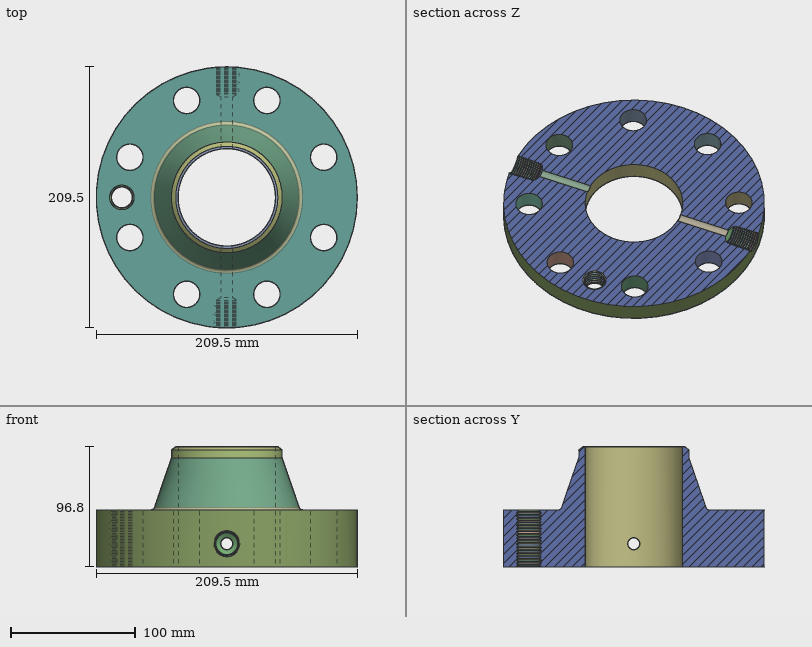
import cadquery as cq
import math

flange_diameter = 209.5
flange_thickness = 46.0
total_height = 96.8

bore_diameter = 78.0
rim_diameter = 88.8
rim_height = 6.3
bevel_height = 2.7
land_diameter = 82.0
hub_base_diameter = 117.5
hub_fillet = 3.0

bolt_circle_diameter = 168.3
bolt_count = 8
bolt_hole_diameter = 21.0

jack_major_diameter = 19.7
jack_minor_diameter = 16.5
jack_pitch = 2.5

tap_height = 18.9
tap_major_diameter = 21.0
tap_minor_diameter = 18.9
tap_pitch = 1.82
tap_turns = 12
tap_taper = 1 / 16
tap_drill_diameter = 9.5
drill_point_angle = 118.0

flange_radius = flange_diameter / 2
bore_radius = bore_diameter / 2
rim_radius = rim_diameter / 2
bolt_circle_radius = bolt_circle_diameter / 2


def make_body():
    """Flange plate and tapered weld neck turned as one piece."""
    rim_top = total_height - bevel_height
    rim_bottom = rim_top - rim_height
    body = (
        cq.Workplane("XZ")
        .moveTo(bore_radius, 0)
        .lineTo(flange_radius, 0)
        .lineTo(flange_radius, flange_thickness)
        .lineTo(hub_base_diameter / 2, flange_thickness)
        .lineTo(rim_radius, rim_bottom)
        .lineTo(rim_radius, rim_top)
        .lineTo(land_diameter / 2, total_height)
        .lineTo(bore_radius, total_height)
        .close()
        .revolve(360, (0, 0, 0), (0, 1, 0))
    )
    return body.edges(cq.selectors.RadiusNthSelector(-2)).fillet(hub_fillet)


def make_threaded_cutter(major_diameter, minor_diameter, pitch, turns, taper=0.0, point=()):
    """Cutter along Z with its mouth at Z = 0, running down into the material.

    The thread is a stack of V-shaped rings, one per pitch, opening at its full
    diameter and ending in a short plain stretch at the minor diameter. The (radius, depth)
    pairs in point extend the cutter beyond the last ring.
    """
    outline = [(0, 0)]
    for turn in range(turns):
        root_depth = turn * pitch
        crest_depth = root_depth + pitch / 2
        outline.append(((major_diameter - taper * root_depth) / 2, -root_depth))
        outline.append(((minor_diameter - taper * crest_depth) / 2, -crest_depth))
    thread_depth = turns * pitch
    outline.append(((minor_diameter - taper * thread_depth) / 2, -thread_depth))
    outline.extend((radius, -depth) for radius, depth in point)
    outline.append((0, outline[-1][1]))
    return cq.Workplane("XZ").polyline(outline).close().revolve(360, (0, 0, 0), (0, 1, 0))


def make_jack_screw_cutter():
    """Thread through the full flange thickness on the -X side."""
    turns = math.ceil(flange_thickness / jack_pitch)
    cutter = make_threaded_cutter(jack_major_diameter, jack_minor_diameter, jack_pitch, turns)
    return cutter.translate((-bolt_circle_radius, 0, flange_thickness))


def make_tap_cutter():
    """Tapered thread, conical drill point and small passage to the bore, on the -Y side."""
    thread_depth = tap_turns * tap_pitch
    thread_end_radius = (tap_minor_diameter - tap_taper * thread_depth) / 2
    drill_radius = tap_drill_diameter / 2
    point_length = (thread_end_radius - drill_radius) / math.tan(math.radians(drill_point_angle / 2))
    passage_end = flange_radius - bore_radius / 2
    point = [(drill_radius, thread_depth + point_length), (drill_radius, passage_end)]
    cutter = make_threaded_cutter(
        tap_major_diameter, tap_minor_diameter, tap_pitch, tap_turns, tap_taper, point
    )
    return cutter.rotate((0, 0, 0), (1, 0, 0), 90).translate((0, -flange_radius, tap_height))


bolt_holes = (
    cq.Workplane("XY")
    .polarArray(bolt_circle_radius, 180 / bolt_count, 360, bolt_count)
    .circle(bolt_hole_diameter / 2)
    .extrude(flange_thickness)
)
result = make_body().cut(bolt_holes).cut(make_jack_screw_cutter())
for tap_direction in (0, 180):
    result = result.cut(make_tap_cutter().rotate((0, 0, 0), (0, 0, 1), tap_direction))